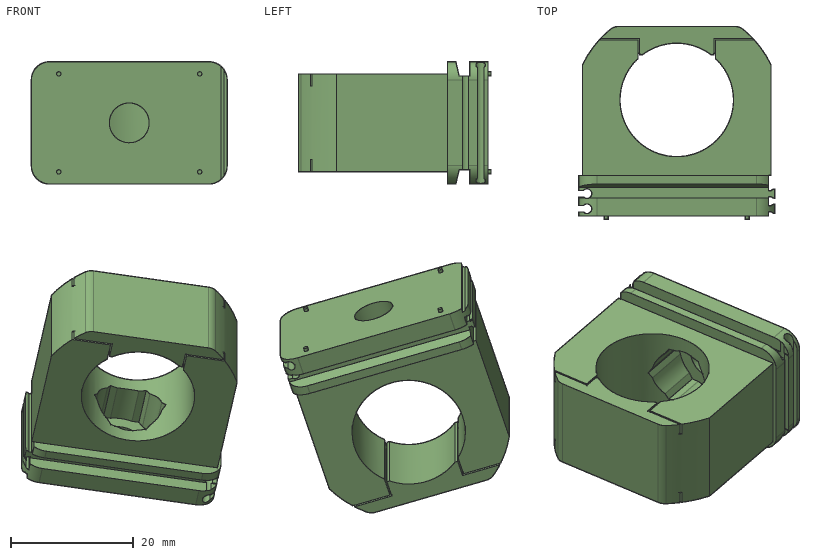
import cadquery as cq
import math

block_width = 30.8
block_height = 16.0
block_back = 12.0
total_depth = 31.5
bore_radius = 9.25

corner_radius = 17.12
corner_center_y = -1.73
crown_fillet = 2.0

slit_width = 0.25
slit_depth = 2.0
slit_back = 10.0
slit_half_span = 6.3
lid_tab_end = 7.35

flange_length = 32.0
flange_height = 20.0
flange_thickness = 6.65
flange_corner = 3.0
pin_length = 0.5
flange_front = block_back - total_depth + pin_length
flange_back = flange_front + flange_thickness

groove_depth = 2.35
groove_front = flange_front + 3.0
groove_floor_width = 1.7
groove_mouth_width = 2.25

joint_offsets = (1.2, 3.68)
joint_radius = 0.77
joint_neck = 1.02
rib_length = 1.0
socket_inset = 1.35

hole_diameter = 6.5
pin_diameter = 0.7
pin_spacing_x = 23.0
pin_spacing_z = 16.0

pocket_start = 3.5
pocket_flats = 10.2
pocket_relief_diameter = 10.8
hexagon_turn = 30

overrun = 0.32


def box(x_min, x_max, y_min, y_max, height):
    """Box centred on Z = 0."""
    return (
        cq.Workplane("XY")
        .box(x_max - x_min, y_max - y_min, height)
        .translate(((x_min + x_max) / 2, (y_min + y_max) / 2, 0))
    )


def upright_cylinder(x, y, radius):
    return (
        cq.Workplane("XY", origin=(x, y, 0))
        .circle(radius)
        .extrude(flange_height / 2, both=True)
    )


def corner_point(angle):
    """Point on the right-hand rear corner arc, angle in radians from +X."""
    return (corner_radius * math.cos(angle), corner_center_y + corner_radius * math.sin(angle))


def mirrored(point):
    return (-point[0], point[1])


def make_block():
    half_width = block_width / 2
    side_angle = math.acos(half_width / corner_radius)
    crown_angle = math.asin((block_back - corner_center_y) / corner_radius)
    side = corner_point(side_angle)
    middle = corner_point((side_angle + crown_angle) / 2)
    crown = corner_point(crown_angle)
    block = (
        cq.Workplane("XY", origin=(0, 0, -block_height / 2))
        .moveTo(-half_width, flange_back)
        .lineTo(half_width, flange_back)
        .lineTo(*side)
        .threePointArc(middle, crown)
        .lineTo(*mirrored(crown))
        .threePointArc(mirrored(middle), mirrored(side))
        .close()
        .extrude(block_height)
    )
    return block.edges("|Z and >Y").fillet(crown_fillet)


def make_bore():
    """Through bore, with a notch on each side of the lid tab."""
    bore = upright_cylinder(0, 0, bore_radius)
    notch = box(-slit_half_span, slit_half_span, 0, lid_tab_end, flange_height)
    bore = bore.union(notch)
    slit_inner = slit_half_span - slit_width
    mouth = box(slit_inner, slit_half_span, 0, lid_tab_end + slit_width, flange_height)
    return bore.union(mouth).union(mouth.mirror("YZ"))


def make_slits():
    """L-shaped slits on both sides of the lid, at the top and the bottom."""
    slit_inner = slit_half_span - slit_width
    across = box(slit_inner, block_width / 2, slit_back - slit_width, slit_back, block_height)
    along = box(slit_inner, slit_half_span, lid_tab_end, slit_back, block_height)
    slit = across.union(along)
    slit = slit.union(slit.mirror("YZ"))
    uncut_height = block_height - 2 * slit_depth
    return slit.cut(box(-block_width, block_width, 0, block_back, uncut_height))


def make_plate():
    """Full rounded envelope of the flange, ribs included."""
    plate = box(-flange_length / 2, flange_length / 2, flange_front, flange_back, flange_height)
    return plate.edges("|Y").fillet(flange_corner)


def make_groove():
    outer_z = flange_height / 2
    floor_z = outer_z - groove_depth
    return (
        cq.Workplane("YZ")
        .moveTo(groove_front, floor_z)
        .lineTo(groove_front + groove_floor_width, floor_z)
        .lineTo(groove_front + groove_mouth_width, outer_z)
        .lineTo(groove_front, outer_z)
        .close()
        .extrude(flange_length / 2, both=True)
    )


def make_joint(x_edge, x_center, y):
    """Round bead at x_center with a straight neck reaching left to x_edge."""
    bead = upright_cylinder(x_center, y, joint_radius)
    neck = box(x_edge, x_center, y - joint_neck / 2, y + joint_neck / 2, flange_height)
    return bead.union(neck)


def make_flange():
    plate = make_plate()
    left = -flange_length / 2
    right = flange_length / 2
    body_right = right - rib_length
    flange = plate.intersect(box(left, body_right, flange_front, flange_back, flange_height))
    for offset in joint_offsets:
        y = flange_front + offset
        rib = make_joint(body_right - overrun, right, y)
        socket = make_joint(left - overrun, left + socket_inset, y)
        flange = flange.union(rib.intersect(plate)).cut(socket)
    groove = make_groove()
    return flange.cut(groove).cut(groove.mirror("XY"))


def make_pins():
    return (
        cq.Workplane("XZ", origin=(0, flange_front, 0))
        .rarray(pin_spacing_x, pin_spacing_z, 2, 2)
        .circle(pin_diameter / 2)
        .extrude(pin_length)
    )


def make_front_hole():
    """Hole from the front face that widens into the hexagonal pocket and meets the bore."""
    pocket_front = flange_front + pocket_start
    hole = (
        cq.Workplane("XZ")
        .circle(hole_diameter / 2)
        .extrude(-flange_front)
    )
    hexagon = (
        cq.Workplane("XZ")
        .transformed(rotate=(0, 0, hexagon_turn))
        .polygon(6, pocket_flats, circumscribed=True)
        .extrude(-pocket_front)
    )
    relief = (
        cq.Workplane("XZ")
        .circle(pocket_relief_diameter / 2)
        .extrude(-pocket_front)
    )
    return hole.union(hexagon).union(relief)


result = (
    make_block()
    .cut(make_bore())
    .cut(make_slits())
    .union(make_flange())
    .cut(make_front_hole())
    .union(make_pins())
)